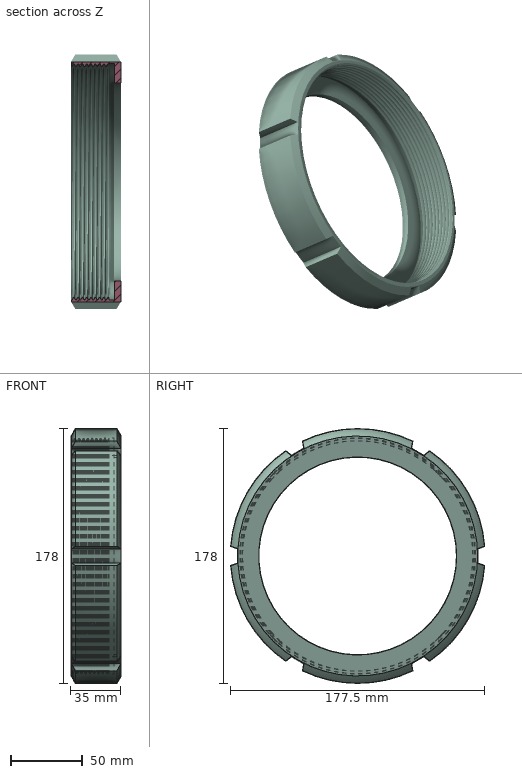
import cadquery as cq
import math

nut_length = 35.0
outer_diameter = 178.0
lip_bore_diameter = 138.0
lip_thickness = 5.0

chamfer_length = 3.0
chamfer_angle = 60.0

thread_pitch = 3.0
thread_minor_diameter = 161.0
thread_depth = 1.8
thread_start_angle = 50.0
groove_mouth_width = 2.5
groove_root_width = 0.4
groove_overlap = 0.2

undercut_diameter = 165.0
undercut_width = 3.5

slot_count = 6
slot_floor_radius = 84.0
slot_floor_width = 10.0
slot_wall_angle = 20.0
slot_cutter_margin = 1.0

outer_radius = outer_diameter / 2
minor_radius = thread_minor_diameter / 2
undercut_radius = undercut_diameter / 2
lip_bore_radius = lip_bore_diameter / 2
x_front = 0.0
x_back = x_front + nut_length
x_lip = x_back - lip_thickness
x_undercut = x_lip - undercut_width


def ring_body():
    """Stepped ring with chamfered rims, revolved about the X axis."""
    rim_radius = outer_radius - chamfer_length * math.tan(math.radians(chamfer_angle))
    half_section = (
        cq.Workplane("XY")
        .moveTo(x_front, minor_radius)
        .lineTo(x_front, rim_radius)
        .lineTo(x_front + chamfer_length, outer_radius)
        .lineTo(x_back - chamfer_length, outer_radius)
        .lineTo(x_back, rim_radius)
        .lineTo(x_back, lip_bore_radius)
        .lineTo(x_lip, lip_bore_radius)
        .lineTo(x_lip, undercut_radius)
        .lineTo(x_undercut, undercut_radius)
        .lineTo(x_undercut, minor_radius)
        .close()
    )
    return half_section.revolve(360, (0, 0, 0), (1, 0, 0))


def spanner_slot():
    """Full-length slot cutter on the +Y side, widening outwards."""
    cutter_radius = outer_radius + slot_cutter_margin
    half_floor = slot_floor_width / 2
    flare = (cutter_radius - slot_floor_radius) * math.tan(math.radians(slot_wall_angle))
    return (
        cq.Workplane("YZ", origin=(x_front, 0, 0))
        .moveTo(slot_floor_radius, -half_floor)
        .lineTo(cutter_radius, -half_floor - flare)
        .lineTo(cutter_radius, half_floor + flare)
        .lineTo(slot_floor_radius, half_floor)
        .close()
        .extrude(nut_length)
    )


def thread_groove():
    """Right-hand helical groove cutter, from one turn ahead of the front face into the undercut."""
    x_start = x_front - thread_pitch
    helix_length = x_undercut + undercut_width / 2 - x_start
    inner_radius = minor_radius - groove_overlap
    half_mouth = groove_mouth_width / 2
    half_root = groove_root_width / 2
    path = cq.Wire.makeHelix(thread_pitch, helix_length, minor_radius)
    groove = (
        cq.Workplane("XZ")
        .moveTo(inner_radius, -half_mouth)
        .lineTo(minor_radius + thread_depth, -half_root)
        .lineTo(minor_radius + thread_depth, half_root)
        .lineTo(inner_radius, half_mouth)
        .close()
        .sweep(cq.Workplane(obj=path), isFrenet=True)
    )
    groove = groove.rotate((0, 0, 0), (0, 1, 0), 90)
    groove = groove.rotate((0, 0, 0), (1, 0, 0), -90 - thread_start_angle)
    return groove.translate((x_start, 0, 0))


def all_spanner_slots():
    """Slot cutters spaced evenly about the X axis."""
    slots = cq.Workplane("YZ")
    for index in range(slot_count):
        slot_angle = index * 360 / slot_count
        slots = slots.add(spanner_slot().rotate((0, 0, 0), (1, 0, 0), slot_angle))
    return slots.combine()


threaded_ring = ring_body().cut(thread_groove(), clean=False)
result = threaded_ring.cut(all_spanner_slots(), clean=False)